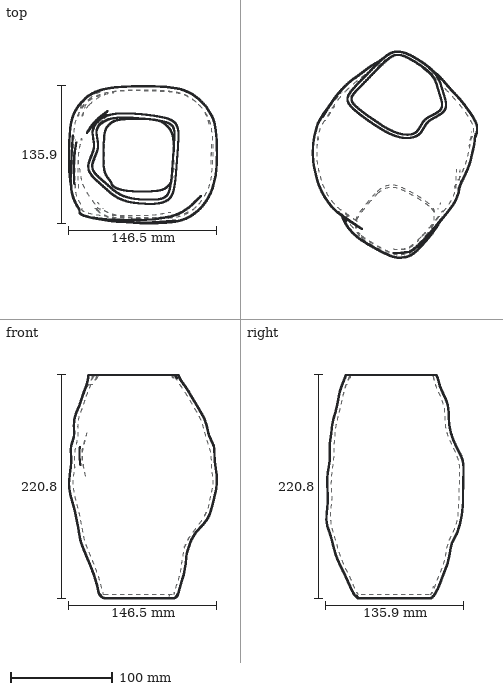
import cadquery as cq
import math


height = 220.75
wall = 4.0
floor_height = 4.0
corner_fullness = 0.6

first_angle = 225
side_count = 8
reach_angles = [first_angle + 360 / side_count * i for i in range(side_count)]

body_levels = [
    (0, (43, 39, 42, 32, 36, 33, 42, 37)),
    (floor_height, (47, 43, 46, 36, 40, 37, 46, 42)),
    (12, (52, 47, 49, 38, 44, 41, 49, 44)),
    (25, (57, 53, 52, 42, 49, 46, 54, 48)),
    (40, (65, 60, 57, 44, 52, 51, 65, 54)),
    (55, (69, 64.5, 65, 48, 58, 54, 73, 60)),
    (70, (70, 69, 75, 58, 67, 61, 77, 63)),
    (85, (71, 70, 80, 68, 73, 64, 74, 66)),
    (100, (73, 69, 80, 72, 76, 65, 75, 70)),
    (115, (79, 69.7, 78, 74.4, 77, 65, 77, 72)),
    (130, (84, 68, 74, 73, 77, 65.4, 74, 70)),
    (145, (85, 67, 72, 72, 75, 61, 68, 70)),
    (160, (81, 66, 69, 67, 70, 54, 60, 67)),
    (175, (75, 64, 62, 63, 65, 51, 57, 67)),
    (190, (67, 60, 58, 55, 58, 50, 54, 62)),
    (205, (58, 57, 54, 46, 50, 44, 54, 57)),
]

rim_points = [
    (-34.5, -37.0), (-17.5, -47.8), (0.0, -50.8), (16.5, -50.6),
    (28.5, -44.5), (33.0, -29.0), (34.8, -8.0), (36.2, 12.0),
    (33.2, 28.5), (17.0, 35.2), (-4.0, 37.8), (-25.0, 38.0),
    (-41.5, 32.5), (-48.6, 20.0), (-47.6, 3.0), (-52.3, -18.0),
]


def octagon_corner(angle_a, reach_a, angle_b, reach_b):
    """Where the two octagon sides lying at these angles and reaches meet."""
    a = math.radians(angle_a)
    b = math.radians(angle_b)
    turn = math.sin(b - a)
    x = (reach_a * math.sin(b) - reach_b * math.sin(a)) / turn
    y = (reach_b * math.cos(a) - reach_a * math.cos(b)) / turn
    return x, y


def between(p, q, fraction):
    """Point this fraction of the way from p to q."""
    return (p[0] + (q[0] - p[0]) * fraction, p[1] + (q[1] - p[1]) * fraction)


def section_points(reaches):
    """Middle of each octagon side, each followed by the softened corner after it."""
    corners = []
    for i in range(side_count):
        j = (i + 1) % side_count
        corners.append(octagon_corner(reach_angles[i], reaches[i], reach_angles[j], reaches[j]))
    sides = [between(corners[i - 1], corners[i], 0.5) for i in range(side_count)]
    points = []
    for i in range(side_count):
        chord_middle = between(sides[i], sides[(i + 1) % side_count], 0.5)
        points.append(sides[i])
        points.append(between(chord_middle, corners[i], corner_fullness))
    return points


def inset(points, distance):
    """Move every point of a counter-clockwise outline inward, square to the outline."""
    count = len(points)
    moved = []
    for i, (x, y) in enumerate(points):
        before = points[i - 1]
        after = points[(i + 1) % count]
        dx = after[0] - before[0]
        dy = after[1] - before[1]
        length = math.hypot(dx, dy)
        moved.append((x - distance * dy / length, y + distance * dx / length))
    return moved


def section_wire(points, z):
    """Smooth closed outline that starts and ends at the front-left seam.

    The points are evenly spaced in parameter, so the loft joins matching points
    of all sections.
    """
    loop = [cq.Vector(x, y, z) for x, y in points]
    params = list(range(len(points) + 1))
    return cq.Wire.assembleEdges([cq.Edge.makeSpline(loop, periodic=True, parameters=params)])


def loft_through(outlines):
    """Solid that passes smoothly through (height, points) outlines, closed flat at both ends."""
    return cq.Solid.makeLoft([section_wire(points, z) for z, points in outlines])


outer_outlines = [(z, section_points(reaches)) for z, reaches in body_levels]

shoulder_height, shoulder_points = outer_outlines[-1]
neck_height = (shoulder_height + height) / 2
neck_points = [between(p, q, 0.5) for p, q in zip(shoulder_points, rim_points)]
outer_outlines.append((neck_height, neck_points))
outer_outlines.append((height, rim_points))

inner_outlines = [(z, inset(points, wall)) for z, points in outer_outlines if z >= floor_height]

body = loft_through(outer_outlines)
cavity = loft_through(inner_outlines)
result = cq.Workplane(body).cut(cq.Workplane(cavity))